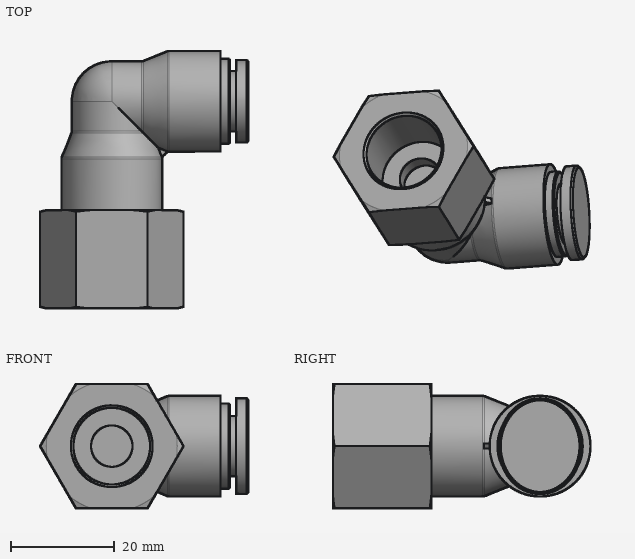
import cadquery as cq
import math


small_radius = 7.75
large_radius = 19.5 / 2
cone_start = 5.95
cone_end = 10.9
arm_length = 21.0
cone_blend_radius = 1.0
web_thickness = 1.0
web_inner = 7.0
web_near = 9.7
web_far = 10.8

hex_flats = 24.0
hex_sides = 6
hex_corners = hex_flats / math.cos(math.pi / hex_sides)
nut_end = 40.0
nut_length = nut_end - arm_length
hex_face_radius = 12.65
hex_bevel_angle = math.radians(15)
bore_diameter = 14.8
bore_depth = 15.0
bore_chamfer = 0.5
bore_chamfer_angle = 45.0
passage_diameter = 8.0

ring_diameter = 16.5
ring_end = 22.8
ring_chamfer = 0.3

neck_diameter = 11.7
flange_start = 24.0
flange_height = 18.5
flange_width = 16.0
collar_end = 26.4
flange_chamfer = 0.4

TUBE_ARM = cq.Plane(origin=(0, 0, 0), xDir=(0, 1, 0), normal=(1, 0, 0))
THREAD_ARM = cq.Plane(origin=(0, 0, 0), xDir=(1, 0, 0), normal=(0, -1, 0))


def make_arm():
    """One elbow arm along +X, widening through a cone with blended ends."""
    arm = (
        cq.Workplane("XY")
        .lineTo(0, small_radius)
        .lineTo(cone_start, small_radius)
        .lineTo(cone_end, large_radius)
        .lineTo(arm_length, large_radius)
        .lineTo(arm_length, 0)
        .close()
        .revolve(360, (0, 0, 0), (1, 0, 0))
    )
    around_cone = cq.selectors.BoxSelector(
        (small_radius / 2, -large_radius, -large_radius),
        (arm_length - cone_blend_radius, large_radius, large_radius),
    )
    cone_edges = arm.edges("%CIRCLE").edges(around_cone)
    return cone_edges.fillet(cone_blend_radius)


def make_elbow():
    """Two equal arms joined by a spherical bend, with a web in the inner corner."""
    tube_arm = make_arm()
    thread_arm = make_arm().rotate((0, 0, 0), (0, 0, 1), -90)
    bend = cq.Workplane("XY").sphere(small_radius)
    web = (
        cq.Workplane("XY")
        .polyline([(web_inner, -web_inner), (web_far, -web_near), (web_near, -web_far)])
        .close()
        .extrude(web_thickness / 2, both=True)
    )
    return tube_arm.union(thread_arm).union(bend).union(web)


def make_nut():
    """Hexagonal nut with bevelled corners, a blind bore and a passage to the elbow."""
    corner_radius = hex_corners / 2
    bevel_drop = (corner_radius - hex_face_radius) * math.tan(hex_bevel_angle)
    hexagon = (
        cq.Workplane(THREAD_ARM)
        .workplane(offset=arm_length)
        .polygon(hex_sides, hex_corners)
        .extrude(nut_length)
    )
    bevel_envelope = (
        cq.Workplane("XY")
        .moveTo(0, -arm_length)
        .lineTo(hex_face_radius, -arm_length)
        .lineTo(corner_radius, -arm_length - bevel_drop)
        .lineTo(corner_radius, -nut_end + bevel_drop)
        .lineTo(hex_face_radius, -nut_end)
        .lineTo(0, -nut_end)
        .close()
        .revolve(360, (0, 0, 0), (0, 1, 0))
    )
    mouth = cq.Workplane(THREAD_ARM).workplane(offset=nut_end)
    bore = mouth.circle(bore_diameter / 2).extrude(-bore_depth)
    passage = mouth.circle(passage_diameter / 2).extrude(-nut_length)
    mouth_chamfer = (
        mouth.circle(bore_diameter / 2 + bore_chamfer)
        .extrude(-bore_chamfer, taper=bore_chamfer_angle)
    )
    return hexagon.intersect(bevel_envelope).cut(bore).cut(passage).cut(mouth_chamfer)


def make_guide_ring():
    """Round disc on the end of the tube arm, chamfered on its outer rim."""
    return (
        cq.Workplane(TUBE_ARM)
        .workplane(offset=arm_length)
        .circle(ring_diameter / 2)
        .extrude(ring_end - arm_length)
        .faces(">X")
        .chamfer(ring_chamfer)
    )


def make_release_collar():
    """Round neck carrying an oval flange that is taller along Z than along Y."""
    neck = (
        cq.Workplane(TUBE_ARM)
        .workplane(offset=ring_end)
        .circle(neck_diameter / 2)
        .extrude(flange_start - ring_end)
    )
    flange = (
        cq.Workplane(TUBE_ARM)
        .workplane(offset=flange_start)
        .ellipse(flange_width / 2, flange_height / 2)
        .extrude(collar_end - flange_start)
        .faces(">X")
        .chamfer(flange_chamfer)
    )
    return neck.union(flange)


elbow = make_elbow()
nut = make_nut()
guide_ring = make_guide_ring()
release_collar = make_release_collar()

result = cq.Compound.makeCompound(
    [elbow.val(), nut.val(), guide_ring.val(), release_collar.val()]
)